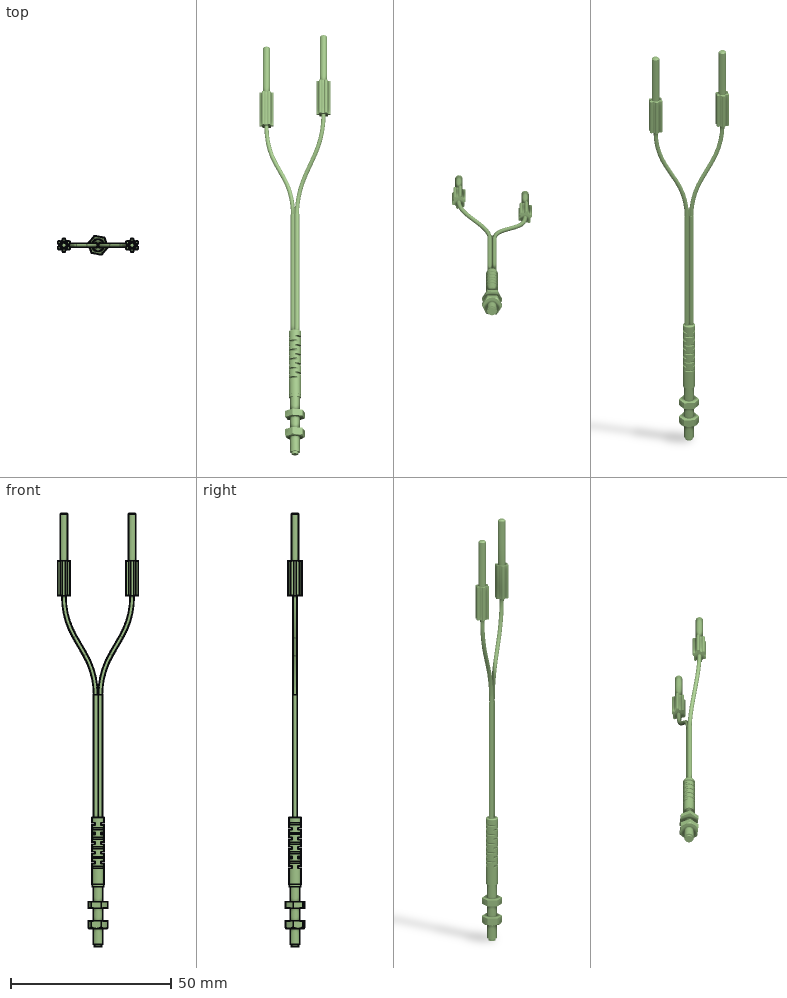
import cadquery as cq
import math

TOTAL_HEIGHT = 135.42
TOTAL_WIDTH = 25.26
OVERALL_DEPTH = 6.0

TIP_DIAMETER = 2.2
TIP_HEIGHT = 0.7
STEM_DIAMETER = 3.0

NUT_FLATS = 5.5
NUT_CORNERS = NUT_FLATS / math.cos(math.radians(30))
NUT_TURN = math.degrees(math.acos(OVERALL_DEPTH / NUT_CORNERS))
LOWER_NUT_BASE = 5.6
LOWER_NUT_HEIGHT = 2.4
UPPER_NUT_BASE = 12.0
UPPER_NUT_HEIGHT = 2.0
NUT_CHAMFER_HEIGHT = 0.4

BARREL_DIAMETER = 3.8
BARREL_BASE = 18.6
BARREL_TOP = 40.4
BARREL_EDGE_RADIUS = 0.3
COLLAR_HEIGHT = 0.8
COLLAR_DIAMETER = 3.7
SLOT_HEIGHT = 0.6
SLOT_FLOOR_HALF_WIDTH = 1.0
SLOT_PITCH = 1.5
SLOT_COUNT = 10
TOP_SLOT_Z = 38.3

SLEEVE_BASE = 109.6
SLEEVE_TOP = 120.5
SLEEVE_CORE_DIAMETER = 3.2
RIB_COUNT = 6
RIB_OUTER_RADIUS = 2.2
RIB_WIDTH = 1.0
RIB_TIP_CENTRE = RIB_OUTER_RADIUS - RIB_WIDTH / 2
RIB_ANGLE = 180 / RIB_COUNT
SLEEVE_HALF_WIDTH = RIB_TIP_CENTRE * math.cos(math.radians(RIB_ANGLE)) + RIB_WIDTH / 2
SLEEVE_X = TOTAL_WIDTH / 2 - SLEEVE_HALF_WIDTH

FERRULE_DIAMETER = 2.3
FERRULE_CHAMFER = 0.4

CABLE_CORE_DIAMETER = 1.5
FIBRE_DIAMETER = 1.3
FIBRE_X = 0.73
SPLIT_Z = 78.7
WEB_THICKNESS = 0.8
WEB_TOP = 80.9
BEND_ANGLE = math.radians(30)
BEND_RADIUS = 25.0


def cylinder(diameter, base, top, x=0):
    return cq.Workplane("XY", origin=(x, 0, base)).circle(diameter / 2).extrude(top - base)


def nut(base, height):
    return (
        cq.Workplane("XY", origin=(0, 0, base))
        .polygon(6, NUT_CORNERS)
        .extrude(height)
        .rotate((0, 0, 0), (0, 0, 1), 90 + NUT_TURN)
    )


def chamfered_nut(base, height):
    """Nut whose lower corners are turned down to a cone."""
    turned = (
        cq.Workplane("XZ")
        .moveTo(0, base)
        .lineTo(NUT_FLATS / 2, base)
        .lineTo(NUT_CORNERS / 2, base + NUT_CHAMFER_HEIGHT)
        .lineTo(NUT_CORNERS / 2, base + height)
        .lineTo(0, base + height)
        .close()
        .revolve(360, (0, 0, 0), (0, 1, 0))
    )
    return nut(base, height).intersect(turned)


def slot_pair(z, turn):
    """Two opposite cutters that leave a flat-sided web across the barrel."""
    reach = BARREL_DIAMETER
    offset = SLOT_FLOOR_HALF_WIDTH + reach / 2
    return (
        cq.Workplane("XY", origin=(0, 0, z))
        .pushPoints([(-offset, 0), (offset, 0)])
        .box(reach, 2 * reach, SLOT_HEIGHT)
        .rotate((0, 0, 0), (0, 0, 1), turn)
    )


def barrel():
    body = cylinder(BARREL_DIAMETER, BARREL_BASE + COLLAR_HEIGHT, BARREL_TOP)
    body = body.faces(">Z").edges().fillet(BARREL_EDGE_RADIUS)
    for index in range(SLOT_COUNT):
        z = TOP_SLOT_Z - index * SLOT_PITCH
        quarter_turn = 90 * (index % 2)
        body = body.cut(slot_pair(z, quarter_turn))
    return body.union(cylinder(COLLAR_DIAMETER, BARREL_BASE, BARREL_BASE + COLLAR_HEIGHT))


def probe():
    stem = cylinder(TIP_DIAMETER, 0, TIP_HEIGHT)
    stem = stem.union(cylinder(STEM_DIAMETER, TIP_HEIGHT, BARREL_BASE))
    stem = stem.union(chamfered_nut(LOWER_NUT_BASE, LOWER_NUT_HEIGHT))
    stem = stem.union(nut(UPPER_NUT_BASE, UPPER_NUT_HEIGHT))
    return stem.union(barrel())


def fibre_bend():
    """S-bend of the +X fibre: arc, slanted straight, arc, then straight up into the sleeve."""
    arc_x = BEND_RADIUS * (1 - math.cos(BEND_ANGLE))
    arc_z = BEND_RADIUS * math.sin(BEND_ANGLE)
    mid_x = BEND_RADIUS * (1 - math.cos(BEND_ANGLE / 2))
    mid_z = BEND_RADIUS * math.sin(BEND_ANGLE / 2)
    slant_x = SLEEVE_X - FIBRE_X - 2 * arc_x
    slant_z = slant_x / math.tan(BEND_ANGLE)
    bend_top = SPLIT_Z + 2 * arc_z + slant_z
    path = (
        cq.Workplane("XZ")
        .moveTo(FIBRE_X, SPLIT_Z)
        .threePointArc((FIBRE_X + mid_x, SPLIT_Z + mid_z), (FIBRE_X + arc_x, SPLIT_Z + arc_z))
        .lineTo(SLEEVE_X - arc_x, bend_top - arc_z)
        .threePointArc((SLEEVE_X - mid_x, bend_top - mid_z), (SLEEVE_X, bend_top))
        .lineTo(SLEEVE_X, SLEEVE_TOP)
    )
    section = cq.Workplane("XY", origin=(FIBRE_X, 0, SPLIT_Z)).circle(FIBRE_DIAMETER / 2)
    return section.sweep(path)


def sleeve():
    """Tube with lengthwise ribs whose outer edges are full rounds."""
    body = cylinder(SLEEVE_CORE_DIAMETER, SLEEVE_BASE, SLEEVE_TOP)
    spine = (
        cq.Workplane("XY", origin=(0, 0, SLEEVE_BASE))
        .slot2D(2 * RIB_OUTER_RADIUS, RIB_WIDTH)
        .extrude(SLEEVE_TOP - SLEEVE_BASE)
    )
    for index in range(RIB_COUNT // 2):
        turn = RIB_ANGLE * (2 * index + 1)
        body = body.union(spine.rotate((0, 0, 0), (0, 0, 1), turn))
    return body.translate((SLEEVE_X, 0, 0))


def web():
    """Flat bridge between the fibres in the crotch of the split."""
    height = WEB_TOP - SPLIT_Z
    return cq.Workplane("XY", origin=(0, 0, SPLIT_Z)).rect(2 * FIBRE_X, WEB_THICKNESS).extrude(height)


def branch():
    """Complete +X fibre from the barrel top to the ferrule end."""
    ferrule = cylinder(FERRULE_DIAMETER, SLEEVE_TOP, TOTAL_HEIGHT, SLEEVE_X)
    ferrule = ferrule.faces(">Z").edges().chamfer(FERRULE_CHAMFER)
    straight = cylinder(CABLE_CORE_DIAMETER, BARREL_TOP, SPLIT_Z, FIBRE_X)
    return straight.union(fibre_bend()).union(sleeve()).union(ferrule)


right_branch = branch()
left_branch = right_branch.mirror("YZ")
result = probe().union(right_branch).union(left_branch).union(web())